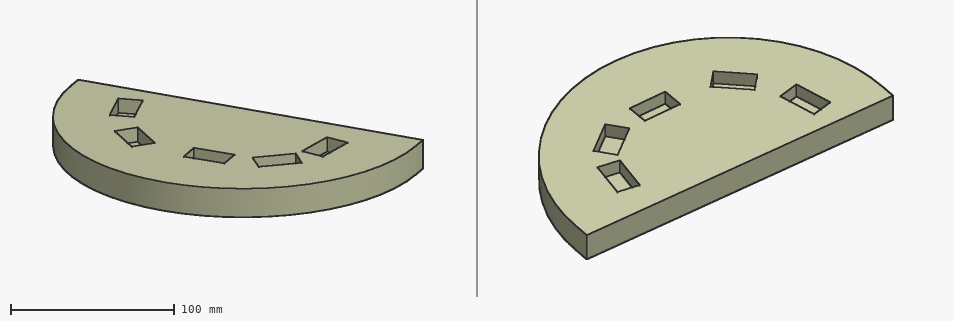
import cadquery as cq
import math

width = 232.3
depth = 128.0
thickness = 19.0
radius = width / 2
back_y = depth - radius
straight_length = 10.5
arc_start_y = back_y - straight_length
side_x = math.sqrt(radius**2 - arc_start_y**2)

pocket_length = 27.2
pocket_width = 15.3
pocket_depth = thickness / 2

pockets = [
    (-70.6, -17.0, -76.5),
    (-46.2, -57.6, -42.5),
    (7.7, -65.7, 1.0),
    (48.5, -55.0, 38.5),
    (66.2, -23.5, 80.5),
]


def make_plate():
    return (
        cq.Workplane("XY")
        .moveTo(-side_x, back_y)
        .lineTo(-side_x, arc_start_y)
        .threePointArc((0, -radius), (side_x, arc_start_y))
        .lineTo(side_x, back_y)
        .close()
        .extrude(thickness)
    )


def make_pocket(x, y, angle):
    return (
        cq.Workplane("XY")
        .rect(pocket_length, pocket_width)
        .extrude(pocket_depth)
        .rotate((0, 0, 0), (0, 0, 1), angle)
        .translate((x, y, thickness - pocket_depth))
    )


result = make_plate()
for x, y, angle in pockets:
    result = result.cut(make_pocket(x, y, angle))